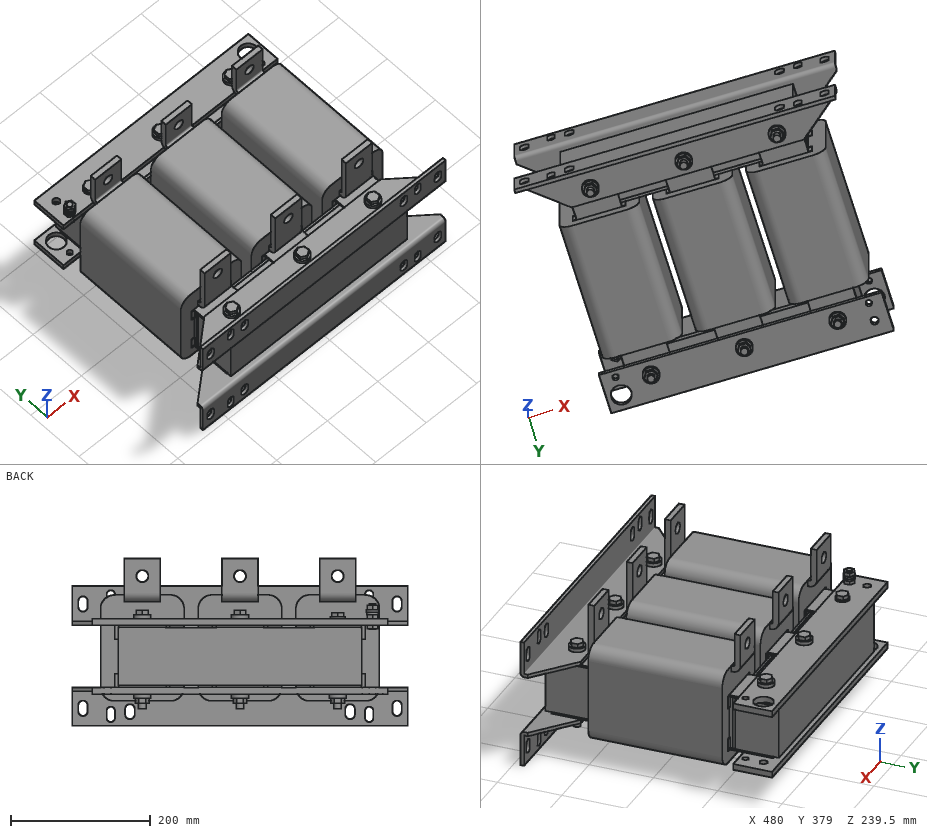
import cadquery as cq
import math


limb_pitch = 139.5
outer_limb_width = 69.0
yoke_width = 67.5
limb_side_recess = 1.0
limb_width = outer_limb_width - 2 * limb_side_recess
core_height = 83.0
core_front = 11.0
core_back = 374.0
core_mid_z = 99.5
core_length_x = 2 * limb_pitch + outer_limb_width
core_mid_y = (core_front + core_back) / 2
limb_positions = (-limb_pitch, 0, limb_pitch)
core_bottom = core_mid_z - core_height / 2
core_top = core_mid_z + core_height / 2
yoke_inner_front = core_front + yoke_width
yoke_inner_back = core_back - yoke_width

insulation_recess = 0.5
strip_thickness = 3.0
strip_inset = 9.0
liner_thickness = 4.5
tab_overhang = 5.0
tab_thickness = 1.0
tab_height = 19.5
clamp_bottom = core_bottom - strip_thickness
clamp_top = core_top + strip_thickness

coil_width = 119.5
coil_length = 208.5
coil_bottom = 35.5
coil_top = 187.0
coil_radius = 19.5
coil_front = core_mid_y - coil_length / 2
coil_back = core_mid_y + coil_length / 2

lead_width = 52.0
lead_thickness = 9.0
lead_bend_radius = 12.0
lead_top = 239.5
lead_front_face = 74.5
lead_back_face = 2 * core_mid_y - lead_front_face
lead_front_bottom = 147.5
lead_back_bottom = 177.5
lead_hole_diameter = 17.0
lead_hole_z = 214.0

bracket_length = 480.0
bracket_thickness = 6.0
bracket_bend_radius = 6.5
bracket_depth = 66.0
bracket_taper_start = 11.5
upper_bracket_top = 200.0
outer_slot = (224.5, 13.0, 21.5)
middle_slot = (185.0, 11.5, 21.5)
inner_slot = (157.5, 13.5, 21.0)
upper_slots = ((outer_slot, 174.0), (middle_slot, 183.0), (inner_slot, 179.5))
lower_slots = ((outer_slot, 25.0), (middle_slot, 16.5), (inner_slot, 20.0))

plate_length = 423.5
plate_thickness = 9.5
plate_front = 318.5
plate_back = 379.0
plate_hole_x = 189.5
plate_hole_y = 356.5
plate_hole_diameter = 11.5
plate_access_diameter = 30.0
earth_hole_y = 329.0
earth_hole_diameter = 9.0

bolt_front_y = 45.5
bolt_back_y = 2 * core_mid_y - bolt_front_y
hex_diameter = 19.5
washer_diameter = 24.5
small_washer_diameter = 21.0
washer_thickness = 6.0
small_washer_thickness = 2.5
head_height = 6.0
nut_height = 7.5
shank_diameter = 11.0
shank_bottom = 24.5

earth_hex_diameter = 17.5
earth_head_height = 5.0
earth_nut_height = 6.0
earth_washer_diameter = 18.0
earth_washers_height = 7.0
earth_inner_washer_diameter = 17.0
earth_top_nut_height = 6.0
earth_shank_top = 174.0
earth_shank_bottom = 138.0


def box(x_range, y_range, z_range):
    """Box spanning the given (low, high) ranges."""
    lows = (x_range[0], y_range[0], z_range[0])
    sizes = [high - low for low, high in (x_range, y_range, z_range)]
    return cq.Workplane("XY").box(*sizes, centered=False).translate(lows)


def centered_range(center, size):
    return (center - size / 2, center + size / 2)


def disc(x, y, z, diameter, height):
    return cq.Workplane("XY", origin=(x, y, z)).circle(diameter / 2).extrude(height)


def hexagon(x, y, z, diameter, height, turn=0):
    prism = cq.Workplane("XY").polygon(6, diameter).extrude(height)
    return prism.rotate((0, 0, 0), (0, 0, 1), turn).translate((x, y, z))


def bent_strip(x_center, width, corner, leg_ends, thickness, radius):
    """Right-angle bent strip; corner is the sharp outer (Y, Z) corner before rounding.

    leg_ends holds the Y where the flat leg ends and the Z where the upright ends.
    """
    y, z = corner
    y_end, z_end = leg_ends
    sy = math.copysign(1, y_end - y)
    sz = math.copysign(1, z_end - z)
    y_bend = y + sy * radius
    z_bend = z + sz * radius
    inner_radius = radius - thickness

    def arc_middle(arc_radius):
        reach = arc_radius * math.sqrt(0.5)
        return (y_bend - sy * reach, z_bend - sz * reach)

    return (
        cq.Workplane("YZ", origin=(x_center - width / 2, 0, 0))
        .moveTo(y, z_end)
        .lineTo(y, z_bend)
        .threePointArc(arc_middle(radius), (y_bend, z))
        .lineTo(y_end, z)
        .lineTo(y_end, z + sz * thickness)
        .lineTo(y_bend, z + sz * thickness)
        .threePointArc(arc_middle(inner_radius), (y + sy * thickness, z_bend))
        .lineTo(y + sy * thickness, z_end)
        .close()
        .extrude(width)
    )


def make_core():
    core_x = centered_range(0, core_length_x)
    core_z = (core_bottom, core_top)
    core = box(core_x, (core_front, yoke_inner_front), core_z)
    core = core.union(box(core_x, (yoke_inner_back, core_back), core_z))
    for x in limb_positions:
        limb_x = centered_range(x, limb_width)
        core = core.union(box(limb_x, (core_front, core_back), core_z))
    return core


def make_insulation():
    liner_x = centered_range(0, core_length_x - 2 * insulation_recess)
    liner_z = (core_bottom + insulation_recess, core_top - insulation_recess)
    front_liner_end = yoke_inner_front + liner_thickness
    back_liner_end = yoke_inner_back - liner_thickness
    insulation = box(liner_x, (yoke_inner_front, front_liner_end), liner_z)
    insulation = insulation.union(box(liner_x, (back_liner_end, yoke_inner_back), liner_z))

    strip_y = (core_front + strip_inset, core_back - strip_inset)
    tab_y_ranges = (
        (coil_front - tab_thickness, coil_front),
        (coil_back, coil_back + tab_thickness),
    )
    tab_z_ranges = (
        (clamp_bottom, clamp_bottom + tab_height),
        (clamp_top - tab_height, clamp_top),
    )
    for x in limb_positions:
        strip_x = centered_range(x, outer_limb_width - 2 * insulation_recess)
        for strip_z in ((clamp_bottom, core_bottom), (core_top, clamp_top)):
            insulation = insulation.union(box(strip_x, strip_y, strip_z))
        tab_x = centered_range(x, outer_limb_width + 2 * tab_overhang)
        for tab_y in tab_y_ranges:
            for tab_z in tab_z_ranges:
                insulation = insulation.union(box(tab_x, tab_y, tab_z))
    return insulation


def make_coil(x):
    coil = box(centered_range(x, coil_width), (coil_front, coil_back), (coil_bottom, coil_top))
    return coil.edges("|Y").fillet(coil_radius)


def make_leads(x):
    front = bent_strip(
        x, lead_width, (lead_front_face, lead_front_bottom), (coil_front, lead_top),
        lead_thickness, lead_bend_radius,
    )
    back = bent_strip(
        x, lead_width, (lead_back_face, lead_back_bottom), (coil_back, lead_top),
        lead_thickness, lead_bend_radius,
    )
    hole = (
        cq.Workplane("XZ", origin=(x, 0, lead_hole_z))
        .circle(lead_hole_diameter / 2)
        .extrude(-plate_back)
    )
    return front.union(back).cut(hole)


def make_bracket(flange_z, edge_z, slots):
    """Angle bracket whose flat flange starts at flange_z and upright ends at edge_z."""
    bracket = bent_strip(
        0, bracket_length, (0, flange_z), (bracket_depth, edge_z),
        bracket_thickness, bracket_bend_radius,
    )
    flange_outline = (
        cq.Workplane("XY")
        .polyline([
            (-bracket_length / 2, 0),
            (bracket_length / 2, 0),
            (bracket_length / 2, bracket_taper_start),
            (core_length_x / 2, bracket_depth),
            (-core_length_x / 2, bracket_depth),
            (-bracket_length / 2, bracket_taper_start),
        ])
        .close()
        .extrude(lead_top)
    )
    bracket = bracket.intersect(flange_outline)
    for (x, width, height), z in slots:
        slot = (
            cq.Workplane("XZ")
            .pushPoints([(-x, z), (x, z)])
            .slot2D(height, width, 90)
            .extrude(-bracket_thickness)
        )
        bracket = bracket.cut(slot)
    return bracket


def make_rear_plate(bottom, access_side):
    """Rear plate; access_side is the X sign of the corner with the large access hole."""
    z_range = (bottom, bottom + plate_thickness)
    plate = box(centered_range(0, plate_length), (plate_front, plate_back), z_range)
    access_x = access_side * plate_hole_x
    holes = (
        (access_x, plate_hole_y, plate_access_diameter),
        (-access_x, plate_hole_y, plate_hole_diameter),
        (access_x, earth_hole_y, earth_hole_diameter),
        (-access_x, earth_hole_y, earth_hole_diameter),
    )
    for x, y, diameter in holes:
        plate = plate.cut(disc(x, y, bottom, diameter, plate_thickness))
    return plate


def make_bolt(x, y, clamp_depth, top_washer_diameter, top_washer_thickness):
    """Bolt, washers and nut clamping parts of thickness clamp_depth onto the core."""
    top = clamp_top + clamp_depth
    bottom = clamp_bottom - clamp_depth
    head_seat = top + top_washer_thickness
    nut_seat = bottom - washer_thickness
    bolt = disc(x, y, shank_bottom, shank_diameter, head_seat - shank_bottom)
    bolt = bolt.union(disc(x, y, top, top_washer_diameter, top_washer_thickness))
    bolt = bolt.union(hexagon(x, y, head_seat, hex_diameter, head_height, turn=90))
    bolt = bolt.union(disc(x, y, nut_seat, washer_diameter, washer_thickness))
    return bolt.union(hexagon(x, y, nut_seat - nut_height, hex_diameter, nut_height))


def make_bolts():
    bolts = cq.Workplane("XY")
    for x in limb_positions:
        bolts = bolts.union(
            make_bolt(x, bolt_front_y, bracket_thickness, washer_diameter, washer_thickness)
        )
    for x in limb_positions[1:]:
        bolts = bolts.union(
            make_bolt(x, bolt_back_y, plate_thickness, washer_diameter, washer_thickness)
        )
    return bolts.union(
        make_bolt(
            limb_positions[0], bolt_back_y, plate_thickness,
            small_washer_diameter, small_washer_thickness,
        )
    )


def make_earth_bolt():
    x, y = -plate_hole_x, earth_hole_y
    head_bottom = clamp_top - earth_head_height
    nut_bottom = clamp_top + plate_thickness
    washers_bottom = nut_bottom + earth_nut_height
    top_nut_bottom = washers_bottom + earth_washers_height
    bolt = disc(x, y, earth_shank_bottom, earth_hole_diameter, earth_shank_top - earth_shank_bottom)
    bolt = bolt.union(hexagon(x, y, head_bottom, earth_hex_diameter, earth_head_height, turn=90))
    bolt = bolt.union(hexagon(x, y, nut_bottom, earth_hex_diameter, earth_nut_height, turn=90))
    washer_height = earth_washers_height / 2
    bolt = bolt.union(disc(x, y, washers_bottom, earth_inner_washer_diameter, washer_height))
    upper_washer_bottom = washers_bottom + washer_height
    bolt = bolt.union(disc(x, y, upper_washer_bottom, earth_washer_diameter, washer_height))
    return bolt.union(
        hexagon(x, y, top_nut_bottom, earth_hex_diameter, earth_top_nut_height, turn=90)
    )


result = make_core().union(make_insulation())
for limb_x_position in limb_positions:
    result = result.union(make_coil(limb_x_position))
    result = result.union(make_leads(limb_x_position))
result = result.union(make_bracket(clamp_top, upper_bracket_top, upper_slots))
result = result.union(make_bracket(clamp_bottom, 0, lower_slots))
result = result.union(make_rear_plate(clamp_top, access_side=1))
result = result.union(make_rear_plate(clamp_bottom - plate_thickness, access_side=-1))
result = result.union(make_bolts())
result = result.union(make_earth_bolt())